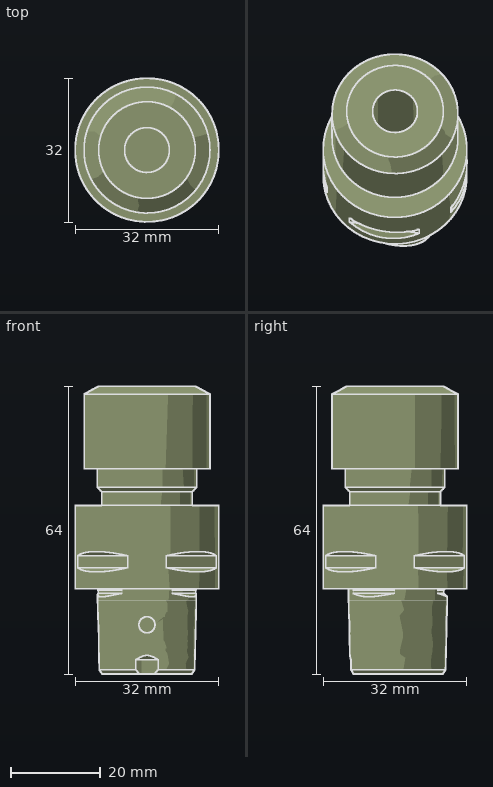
import cadquery as cq
import math

total_height = 64.0
shank_chamfer_top = 0.95
taper_top = 16.45
flange_bottom = 18.95
flange_top = 37.5
neck_top = 40.5
collar_bottom = 41.55
nut_bottom = 45.6
nut_bevel_height = 1.8

flange_radius = 16.0
neck_radius = 10.1
collar_radius = 11.1
nut_radius = 14.0
nut_face_radius = 10.75
bore_radius = 5.0
bore_depth = 32.0

shank_radius = 11.0
lobe_height = 0.65
shank_taper = 1 / 40
shank_chamfer = 0.65
curve_points = 36

relief_radius = 10.9
relief_bottom = 17.1
relief_slope_height = 0.8
relief_fillet = 0.3

slot_count = 4
slot_chord = 15.75
slot_floor_height = 2.6
slot_flare = 0.95
slot_center_z = 24.95

side_hole_radius = 1.8
side_hole_z = 10.95
side_hole_depth = 3.85
notch_radius = 3.85
notch_axis_distance = 12.75
notch_cylinder_height = 3.15
notch_tip_height = 3.3

cut_clearance = 3.2


def lobed_point(angle, mean_radius):
    """Point on a three-lobed curve with one lobe toward +Y."""
    lobe_angle = 3 * (angle - math.pi / 2)
    reach = mean_radius + lobe_height * math.cos(lobe_angle)
    slope = -3 * lobe_height * math.sin(lobe_angle)
    x = reach * math.cos(angle) - slope * math.sin(angle)
    y = reach * math.sin(angle) + slope * math.cos(angle)
    return x, y


def lobed_wire(mean_radius, z):
    angles = [2 * math.pi * step / curve_points for step in range(curve_points)]
    points = [cq.Vector(*lobed_point(angle, mean_radius), z) for angle in angles]
    return cq.Wire.assembleEdges([cq.Edge.makeSpline(points, periodic=True)])


def make_round_body():
    profile = [
        (0, flange_bottom),
        (flange_radius, flange_bottom),
        (flange_radius, flange_top),
        (neck_radius, flange_top),
        (neck_radius, neck_top),
        (collar_radius, collar_bottom),
        (collar_radius, nut_bottom),
        (nut_radius, nut_bottom),
        (nut_radius, total_height - nut_bevel_height),
        (nut_face_radius, total_height),
        (0, total_height),
    ]
    body = cq.Workplane("XZ").polyline(profile).close().revolve(360, (0, 0), (0, 1))
    return body.faces(">Z").workplane().circle(bore_radius).cutBlind(-bore_depth)


def make_shank():
    chamfer_radius = shank_radius - shank_taper * (taper_top - shank_chamfer_top)
    end_radius = chamfer_radius - shank_chamfer
    sections = [
        lobed_wire(end_radius, 0),
        lobed_wire(chamfer_radius, shank_chamfer_top),
        lobed_wire(shank_radius, taper_top),
        lobed_wire(shank_radius, flange_bottom),
    ]
    return cq.Workplane(cq.Solid.makeLoft(sections, True))


def make_lobe_relief():
    outer_radius = relief_radius + cut_clearance
    profile = (
        cq.Workplane("XZ")
        .moveTo(relief_radius + relief_slope_height, relief_bottom)
        .lineTo(relief_radius, relief_bottom + relief_slope_height)
        .lineTo(relief_radius, flange_bottom - relief_fillet)
        .tangentArcPoint((relief_radius + relief_fillet, flange_bottom), relative=False)
        .lineTo(outer_radius, flange_bottom)
        .lineTo(outer_radius, relief_bottom)
        .close()
    )
    return profile.revolve(360, (0, 0), (0, 1))


def make_gripper_slot():
    floor_distance = math.sqrt(flange_radius**2 - (slot_chord / 2) ** 2)
    depth = flange_radius - floor_distance
    floor_half = slot_floor_height / 2
    mouth_half = floor_half + slot_flare
    profile = [
        (floor_distance, slot_center_z - floor_half),
        (floor_distance + depth, slot_center_z - mouth_half),
        (floor_distance + depth, slot_center_z + mouth_half),
        (floor_distance, slot_center_z + floor_half),
    ]
    return cq.Workplane("XZ").polyline(profile).close().extrude(slot_chord / 2, both=True)


def make_side_hole():
    front_distance = shank_radius - lobe_height
    hole_floor = cq.Workplane("XZ", origin=(0, side_hole_depth - front_distance, side_hole_z))
    return hole_floor.circle(side_hole_radius).extrude(side_hole_depth + cut_clearance)


def make_end_notch():
    profile = [
        (0, -cut_clearance),
        (notch_radius, -cut_clearance),
        (notch_radius, notch_cylinder_height),
        (0, notch_cylinder_height + notch_tip_height),
    ]
    notch = cq.Workplane("XZ").polyline(profile).close().revolve(360, (0, 0), (0, 1))
    return notch.translate((0, -notch_axis_distance, 0))


shank = make_shank().cut(make_lobe_relief()).cut(make_side_hole()).cut(make_end_notch())
body = make_round_body()
slot = make_gripper_slot()
for index in range(slot_count):
    slot_angle = (index + 0.5) * 360 / slot_count
    body = body.cut(slot.rotate((0, 0, 0), (0, 0, 1), slot_angle))

result = body.union(shank)